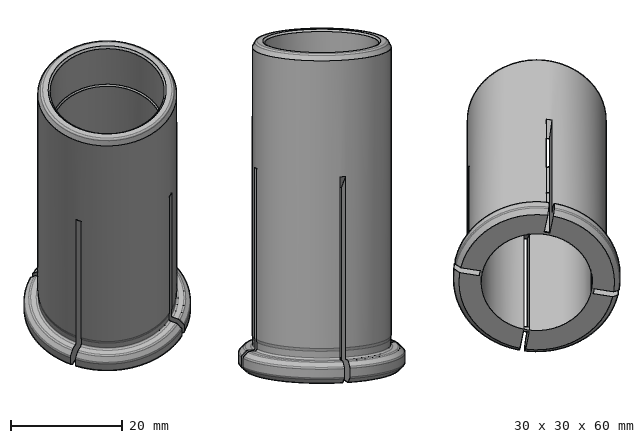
import cadquery as cq

height = 60.0
body_radius = 25.0 / 2
flange_radius = 15.0
bore_radius = 20.0 / 2
upper_bore_radius = 20.5 / 2
upper_bore_depth = 10.2

flange_height = 4.0
flange_chamfer = 1.0
flange_rounding = 0.5

groove_radius = 12.4
groove_top = 6.1
groove_taper_height = 0.55
groove_fillet = 0.35

rim_chamfer_width = 0.6
rim_chamfer_height = 1.15
rim_rounding = 0.5
mouth_chamfer = 0.35

slot_width = 1.0
slot_count = 4
slot_top_inside = 35.0
slot_lip_height = 1.1
slot_lip_width = 0.45
slot_overcut = 0.6


def make_blank():
    """Revolve the solid outline of the sleeve, then round its outer corners."""
    outline = (
        cq.Workplane("XZ")
        .lineTo(flange_radius - flange_chamfer, 0)
        .lineTo(flange_radius, flange_chamfer)
        .lineTo(flange_radius, flange_height - flange_chamfer)
        .lineTo(flange_radius - flange_chamfer, flange_height)
        .lineTo(groove_radius, flange_height)
        .lineTo(groove_radius, groove_top - groove_taper_height)
        .lineTo(body_radius, groove_top)
        .lineTo(body_radius, height - rim_chamfer_height)
        .lineTo(body_radius - rim_chamfer_width, height)
        .lineTo(0, height)
        .close()
    )
    blank = outline.revolve(360, (0, 0, 0), (0, 1, 0))
    blank = round_circle(blank, flange_radius, flange_chamfer, flange_rounding)
    blank = round_circle(blank, flange_radius, flange_height - flange_chamfer, flange_rounding)
    blank = round_circle(blank, flange_radius - flange_chamfer, flange_height, flange_rounding)
    blank = round_circle(blank, groove_radius, flange_height, groove_fillet)
    return round_circle(blank, body_radius - rim_chamfer_width, height, rim_rounding)


def round_circle(body, radius, level, rounding):
    """Fillet the circular edge with the given radius at the given height."""
    tolerance = 0.005
    edge = body.edges("%CIRCLE").filter(
        lambda circle: abs(circle.radius() - radius) < tolerance
        and abs(circle.Center().z - level) < tolerance
    )
    return edge.fillet(rounding)


def make_bore():
    """Through bore, widened above a 45 degree step, with a chamfered mouth at the top."""
    step_level = height - upper_bore_depth
    return (
        cq.Workplane("XZ")
        .lineTo(bore_radius, 0)
        .lineTo(bore_radius, step_level)
        .lineTo(upper_bore_radius, step_level + upper_bore_radius - bore_radius)
        .lineTo(upper_bore_radius, height - mouth_chamfer)
        .lineTo(upper_bore_radius + mouth_chamfer, height)
        .lineTo(0, height)
        .close()
        .revolve(360, (0, 0, 0), (0, 1, 0))
    )


def make_slot():
    """Slot through the +X wall: 45 degree upper end, small sloping lip left at the bottom."""
    outside = flange_radius + slot_overcut
    return (
        cq.Workplane("XZ")
        .moveTo(bore_radius - slot_overcut, slot_lip_height)
        .lineTo(bore_radius, slot_lip_height)
        .lineTo(bore_radius + slot_lip_width, 0)
        .lineTo(outside, 0)
        .lineTo(outside, slot_top_inside + outside - bore_radius)
        .lineTo(bore_radius - slot_overcut, slot_top_inside - slot_overcut)
        .close()
        .extrude(slot_width / 2, both=True)
    )


result = make_blank().cut(make_bore())
slot = make_slot()
for index in range(slot_count):
    result = result.cut(slot.rotate((0, 0, 0), (0, 0, 1), index * 360 / slot_count))